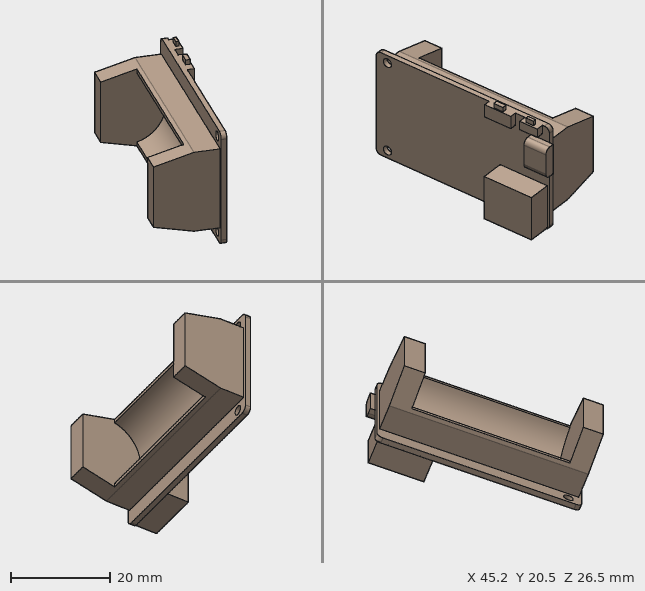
import cadquery as cq

overall_length = 45.25
overall_depth = 20.5
overall_height = 26.5

board_length = 44.25
board_height = 25.45
board_thickness = 1.2
board_corner_radius = 1.25
board_front = 14.05
board_left = overall_length - board_length
board_back = board_front + board_thickness
board_mid_z = board_height / 2

hole_diameter = 2.05
hole_x = 42.35
hole_spacing = 21.7

holder_left = 1.55
holder_length = 43.05
holder_height = 18.0
arm_tip_height = 13.75
taper_depth = 8.5

bay_left = 6.05
bay_length = 34.15
bay_depth = 7.6
trough_radius = 8.15
trough_axis_y = 5.55

block_length = 12.05
block_bottom = 0.45
block_height = 10.5
connector_length = 5.6
connector_bottom = 14.55
connector_height = 7.35
connector_depth = 2.45
connector_corner_radius = 1.25


def box(x, y, z, length, depth, height):
    """Box placed by its lowest X, Y and Z corner."""
    return cq.Workplane("XY").box(length, depth, height, centered=False).translate((x, y, z))


def make_board():
    board = box(board_left, board_front, 0, board_length, board_thickness, board_height)
    board = board.edges("|Y").fillet(board_corner_radius)
    for side in (-1, 1):
        hole_z = board_mid_z + side * hole_spacing / 2
        hole = (
            cq.Workplane("XZ", origin=(hole_x, board_back, hole_z))
            .circle(hole_diameter / 2)
            .extrude(board_thickness)
        )
        board = board.cut(hole)
    return board


def make_holder():
    half_height = holder_height / 2
    half_tip = arm_tip_height / 2
    body = (
        cq.Workplane("YZ", origin=(holder_left, 0, board_mid_z))
        .polyline([
            (0, -half_tip),
            (taper_depth, -half_height),
            (board_front, -half_height),
            (board_front, half_height),
            (taper_depth, half_height),
            (0, half_tip),
        ])
        .close()
        .extrude(holder_length)
    )
    bay = box(bay_left, 0, 0, bay_length, bay_depth, board_height)
    trough = (
        cq.Workplane("YZ", origin=(bay_left, trough_axis_y, board_mid_z))
        .circle(trough_radius)
        .extrude(bay_length)
    )
    return body.cut(bay).cut(trough)


def make_connector():
    shell = box(0, board_back, connector_bottom, connector_length, connector_depth, connector_height)
    return shell.edges("|X and >Y").fillet(connector_corner_radius)


def make_switch(left, length, depth, height, button_left, button_length, button_gap, button_depth):
    """Switch body flush with the board's top edge, with a button standing above it."""
    body = box(left, board_back, board_height - height, length, depth, height)
    button_bottom = board_height - height
    button = box(
        button_left, board_back + button_gap, button_bottom,
        button_length, button_depth, overall_height - button_bottom,
    )
    return body.union(button)


rear_block = box(
    holder_left, board_back, block_bottom,
    block_length, overall_depth - board_back, block_height,
)
small_switch = make_switch(
    left=2.75, length=4.5, depth=1.7, height=2.1,
    button_left=4.1, button_length=1.9, button_gap=0.55, button_depth=0.7,
)
large_switch = make_switch(
    left=9.7, length=6.7, depth=1.5, height=3.05,
    button_left=11.9, button_length=2.35, button_gap=0.23, button_depth=1.0,
)

result = make_board().union(make_holder())
for component in (rear_block, make_connector(), small_switch, large_switch):
    result = result.union(component)